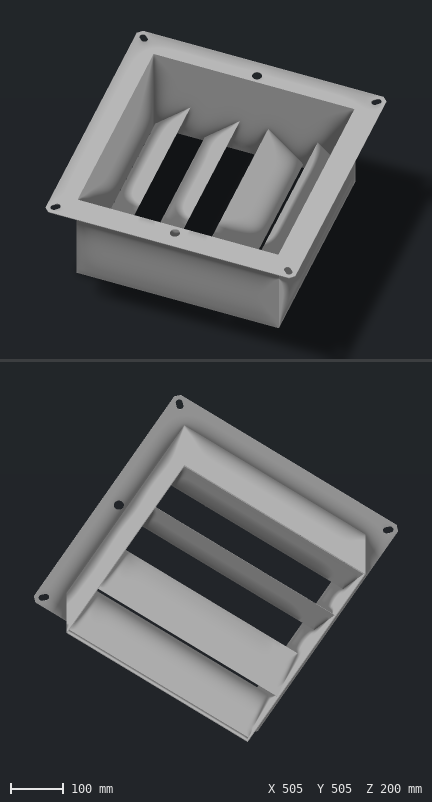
import cadquery as cq

flange_side = 505.0
total_height = 200.0
sheet = 1.5
duct_side = 409.0
corner_chamfer = 9.0

round_hole_diameter = 19.0
round_hole_offset = 219.0
slot_width = 13.0
slot_length = 20.0
slot_offset = 235.5

blade_width = 100.0
blade_thickness = 0.5
blade_angle = 45.0
blade_pitch = 100.0
outer_blade_center = 164.0
blade_center_height = 45.0

opening_side = duct_side - 2 * sheet
flange_bottom = total_height - sheet


def make_flange():
    """Square plate with clipped corners, two round holes and four diagonal slots."""
    flange = (
        cq.Workplane("XY")
        .workplane(offset=flange_bottom)
        .rect(flange_side, flange_side)
        .extrude(sheet)
        .edges("|Z")
        .chamfer(corner_chamfer)
    )
    round_holes = (
        cq.Workplane("XY")
        .workplane(offset=flange_bottom)
        .pushPoints([(0, -round_hole_offset), (0, round_hole_offset)])
        .circle(round_hole_diameter / 2)
        .extrude(sheet)
    )
    flange = flange.cut(round_holes)
    for x_side in (-1, 1):
        for y_side in (-1, 1):
            slot = (
                cq.Workplane("XY")
                .workplane(offset=flange_bottom)
                .center(x_side * slot_offset, y_side * slot_offset)
                .slot2D(slot_length, slot_width, 45 * x_side * y_side)
                .extrude(sheet)
            )
            flange = flange.cut(slot)
    return flange


def make_blade(center_x, angle):
    """Thin inclined strip spanning the duct between its two Y walls."""
    return (
        cq.Workplane("XY")
        .box(blade_width, opening_side, blade_thickness)
        .rotate((0, 0, 0), (0, 1, 0), -angle)
        .translate((center_x, 0, blade_center_height))
    )


duct = cq.Workplane("XY").rect(duct_side, duct_side).extrude(total_height)
opening = cq.Workplane("XY").rect(opening_side, opening_side).extrude(total_height)
result = make_flange().union(duct).cut(opening)

for side in (-1, 1):
    for index in range(2):
        blade_x = side * (outer_blade_center - index * blade_pitch)
        result = result.union(make_blade(blade_x, -side * blade_angle))